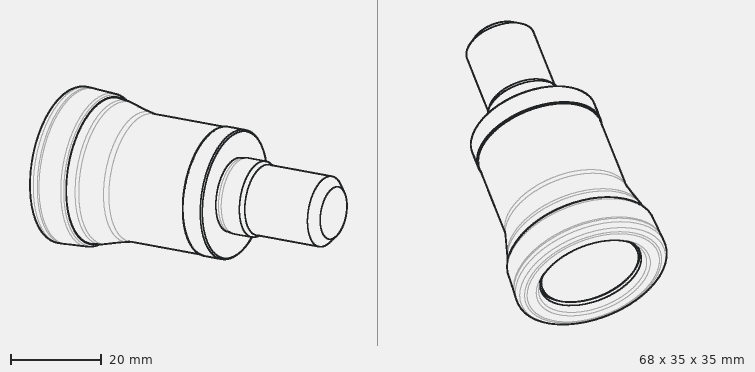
import cadquery as cq

cap_crown_start = 1.6
cap_crown_end = 2.65
cap_taper_start = 3.05
cap_taper_end = 8.4
cap_back_bevel_start = 9.05
cap_back = 9.45
band_end = 11.5
cone_start = 12.3
cone_end = 17.8
barrel_start = 19.05
collar_start = 38.1
collar_end = 42.85
neck_end = 43.45
shoulder_start = 44.3
shoulder_end = 48.95
shank_start = 50.0
stud_end = 68.0

cap_radius = 17.5
cap_taper_front_radius = 17.4
cap_taper_back_radius = 17.15
cap_back_round_mid = (8.8, 17.1)
cap_back_bevel_radius = 16.85
cap_back_radius = 16.45
cap_face_radius = 15.3
cap_face_edge = (0.15, 15.85)
cap_bevel_end = (0.5, 16.85)
cap_nose_mid = (0.9, 17.35)
face_inner_radius = 13.2
lip_round_mid = (0.15, 12.8)
lip_round_end = (0.4, 12.5)
lip_back = 1.6
bore_radius = 11.7

spigot_face = 2.2
spigot_chamfer = 0.5
band_front_radius = 16.3
band_back_radius = 16.1
cone_front_radius = 15.9
cone_back_radius = 14.55
barrel_radius = 28.6 / 2
collar_radius = 29.0 / 2
collar_chamfer = 0.35
groove_width = 0.2
groove_depth = 0.2
neck_radius = 8.3
shoulder_radius = 17.0 / 2
shank_radius = 15.8 / 2
stud_chamfer = 2.05


def revolve_about_x(profile):
    """Close a profile given as (x, radius) and turn it around the X axis."""
    return profile.close().revolve(360, (0, 0, 0), (1, 0, 0))


def make_cap():
    profile = (
        cq.Workplane("XY")
        .moveTo(0, face_inner_radius)
        .lineTo(0, cap_face_radius)
        .lineTo(*cap_face_edge)
        .lineTo(*cap_bevel_end)
        .threePointArc(cap_nose_mid, (cap_crown_start, cap_radius))
        .lineTo(cap_crown_end, cap_radius)
        .lineTo(cap_taper_start, cap_taper_front_radius)
        .lineTo(cap_taper_end, cap_taper_back_radius)
        .threePointArc(cap_back_round_mid, (cap_back_bevel_start, cap_back_bevel_radius))
        .lineTo(cap_back, cap_back_radius)
        .lineTo(cap_back, bore_radius)
        .lineTo(lip_back, bore_radius)
        .lineTo(*lip_round_end)
        .threePointArc(lip_round_mid, (0, face_inner_radius))
    )
    return revolve_about_x(profile)


def make_core():
    profile = (
        cq.Workplane("XY")
        .moveTo(spigot_face, 0)
        .lineTo(spigot_face, bore_radius - spigot_chamfer)
        .lineTo(spigot_face + spigot_chamfer, bore_radius)
        .lineTo(cap_back, bore_radius)
        .lineTo(cap_back, band_front_radius)
        .lineTo(band_end, band_back_radius)
        .lineTo(cone_start, cone_front_radius)
        .lineTo(cone_end, cone_back_radius)
        .lineTo(barrel_start, barrel_radius)
        .lineTo(collar_start - groove_width, barrel_radius)
        .lineTo(collar_start - groove_width, barrel_radius - groove_depth)
        .lineTo(collar_start, barrel_radius - groove_depth)
        .lineTo(collar_start, collar_radius)
        .lineTo(collar_end - collar_chamfer, collar_radius)
        .lineTo(collar_end, collar_radius - collar_chamfer)
        .lineTo(collar_end, neck_radius)
        .lineTo(neck_end, neck_radius)
        .lineTo(shoulder_start, shoulder_radius)
        .lineTo(shoulder_end, shoulder_radius)
        .lineTo(shank_start, shank_radius)
        .lineTo(stud_end - stud_chamfer, shank_radius)
        .lineTo(stud_end, shank_radius - stud_chamfer)
        .lineTo(stud_end, 0)
    )
    return revolve_about_x(profile)


cap = make_cap()
core = make_core()
result = cq.Compound.makeCompound([cap.val(), core.val()])